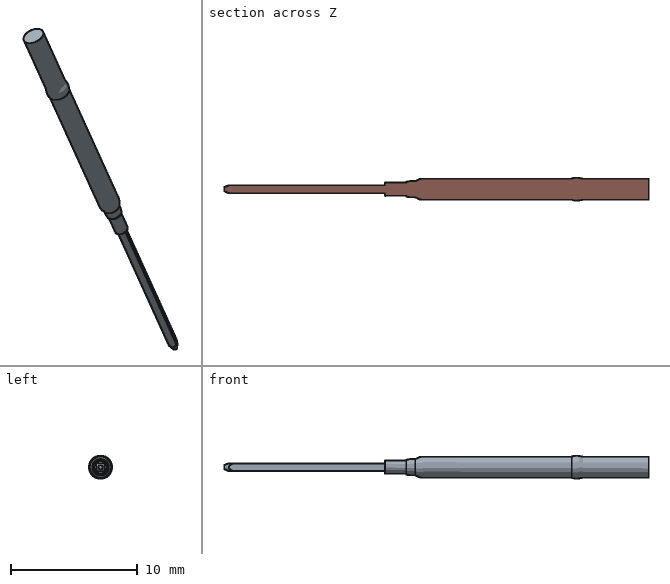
import cadquery as cq

total_length = 33.48

pin_side = 0.65
pin_edge_chamfer = 0.05
tip_flat_diameter = 0.35
tip_slope = 0.4

collar_start = 12.65
collar_diameter = 1.07
collar_chamfer = 0.05
collar_end = 14.35

mouth_diameter = 1.2
neck_start = 14.7
neck_end = 15.05
neck_diameter = 1.3
flare_end = 15.2
flare_diameter = 1.4
shoulder_end = 15.7
shoulder_run_share = 0.35
shoulder_rise_share = 0.7
barrel_diameter = 1.67

ring_diameter = 1.85
ring_start = 27.4
ring_crest_start = 27.5
ring_crest_end = 28.05
ring_end = 28.3


def square_pin():
    """Square bar with chamfered edges whose tip is cut to a cone around the axis."""
    bar = cq.Workplane("YZ").rect(pin_side, pin_side).extrude(collar_start)
    bar = bar.edges("|X").chamfer(pin_edge_chamfer)
    tip_radius = tip_flat_diameter / 2
    cone_end_radius = pin_side
    cone_length = (cone_end_radius - tip_radius) / tip_slope
    envelope = (
        cq.Workplane("XY")
        .moveTo(0, 0)
        .lineTo(0, tip_radius)
        .lineTo(cone_length, cone_end_radius)
        .lineTo(collar_start, cone_end_radius)
        .lineTo(collar_start, 0)
        .close()
        .revolve(360, (0, 0, 0), (1, 0, 0))
    )
    return bar.intersect(envelope)


def turned_body():
    """Collar, neck, shoulder, barrel and press ring as one turned profile."""
    collar_radius = collar_diameter / 2
    neck_radius = neck_diameter / 2
    mouth_radius = mouth_diameter / 2
    flare_radius = flare_diameter / 2
    barrel_radius = barrel_diameter / 2
    ring_radius = ring_diameter / 2
    shoulder_middle = (
        flare_end + shoulder_run_share * (shoulder_end - flare_end),
        flare_radius + shoulder_rise_share * (barrel_radius - flare_radius),
    )
    crest_middle = ((ring_crest_start + ring_crest_end) / 2, ring_radius)
    crest_edge_radius = (barrel_radius + ring_radius) / 2
    return (
        cq.Workplane("XY")
        .moveTo(collar_start, 0)
        .lineTo(collar_start, collar_radius - collar_chamfer)
        .lineTo(collar_start + collar_chamfer, collar_radius)
        .lineTo(collar_end, collar_radius)
        .lineTo(collar_end, mouth_radius)
        .lineTo(neck_start, neck_radius)
        .lineTo(neck_end, neck_radius)
        .lineTo(flare_end, flare_radius)
        .threePointArc(shoulder_middle, (shoulder_end, barrel_radius))
        .lineTo(ring_start, barrel_radius)
        .lineTo(ring_crest_start, crest_edge_radius)
        .threePointArc(crest_middle, (ring_crest_end, crest_edge_radius))
        .lineTo(ring_end, barrel_radius)
        .lineTo(total_length, barrel_radius)
        .lineTo(total_length, 0)
        .close()
        .revolve(360, (0, 0, 0), (1, 0, 0))
    )


result = turned_body().union(square_pin())